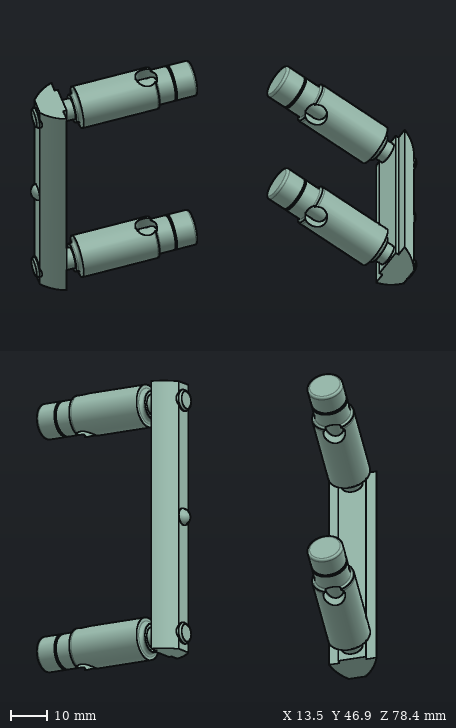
import cadquery as cq
import math

overall_height = 78.4
sleeve_diameter = 12.0
sleeve_radius = sleeve_diameter / 2
pin_spacing = overall_height - sleeve_diameter
pin_heights = (-pin_spacing / 2, pin_spacing / 2)

rail_length = 76.4
rail_width = 13.5
rail_depth = 7.3
rib_width = 7.7
rib_height = 0.95
flat_width = 4.9
flank_bulge = 0.55

dome_radius = 2.5
dome_height = 1.8

stem_radius = 6.0 / 2
head_height = 0.95
head_chamfer_length = 0.7
head_chamfer_width = 0.55

pin_end = 45.15
sleeve_rear = pin_end - 11.45
sleeve_front = pin_end - 33.55
collar_front = pin_end - 35.05

rod_radius = 10.0 / 2
end_fillet = 0.7
groove_rear = pin_end - 6.0
groove_width = 0.5
groove_depth = 0.2
rod_fillet = 0.5

sleeve_chamfer_length = 0.55
sleeve_chamfer_width = 0.1

collar_radius = 8.0 / 2
collar_fillet = 1.0

cross_hole_radius = stem_radius
cross_hole_y = pin_end - 13.5


def make_rail():
    rib_base = rail_depth - rib_height
    half_width = rail_width / 2
    half_flat = flat_width / 2
    half_rib = rib_width / 2
    chord_x = half_width - half_flat
    chord = math.hypot(chord_x, rib_base)
    middle_x = (half_width + half_flat) / 2 + flank_bulge * rib_base / chord
    middle_y = rib_base / 2 - flank_bulge * chord_x / chord
    return (
        cq.Workplane("XY")
        .moveTo(-half_flat, 0)
        .lineTo(half_flat, 0)
        .threePointArc((middle_x, middle_y), (half_width, rib_base))
        .lineTo(half_rib, rib_base)
        .lineTo(half_rib, rail_depth)
        .lineTo(-half_rib, rail_depth)
        .lineTo(-half_rib, rib_base)
        .lineTo(-half_width, rib_base)
        .threePointArc((-middle_x, middle_y), (-half_flat, 0))
        .close()
        .extrude(rail_length / 2, both=True)
    )


def make_stem():
    return (
        cq.Workplane("XY")
        .moveTo(0, -head_height)
        .lineTo(stem_radius - head_chamfer_width, -head_height)
        .lineTo(stem_radius, head_chamfer_length - head_height)
        .lineTo(stem_radius, groove_rear)
        .lineTo(0, groove_rear)
        .close()
        .revolve(360, (0, 0), (0, 1))
    )


def make_sleeve_and_rod():
    groove_front = groove_rear - groove_width
    groove_radius = rod_radius - groove_depth
    arc_inset = 1 - math.sqrt(0.5)
    body = (
        cq.Workplane("XY")
        .moveTo(0, collar_front)
        .lineTo(collar_radius, collar_front)
        .lineTo(collar_radius, sleeve_front - collar_fillet)
        .threePointArc(
            (collar_radius + collar_fillet * arc_inset, sleeve_front - collar_fillet * arc_inset),
            (collar_radius + collar_fillet, sleeve_front),
        )
        .lineTo(sleeve_radius, sleeve_front)
        .lineTo(sleeve_radius, sleeve_rear - sleeve_chamfer_length)
        .lineTo(sleeve_radius - sleeve_chamfer_width, sleeve_rear)
        .lineTo(rod_radius + rod_fillet, sleeve_rear)
        .threePointArc(
            (rod_radius + rod_fillet * arc_inset, sleeve_rear + rod_fillet * arc_inset),
            (rod_radius, sleeve_rear + rod_fillet),
        )
        .lineTo(rod_radius, groove_front)
        .lineTo(groove_radius, groove_front)
        .lineTo(groove_radius, groove_rear)
        .lineTo(rod_radius, groove_rear)
        .lineTo(rod_radius, pin_end - end_fillet)
        .threePointArc(
            (rod_radius - end_fillet * arc_inset, pin_end - end_fillet * arc_inset),
            (rod_radius - end_fillet, pin_end),
        )
        .lineTo(0, pin_end)
        .close()
        .revolve(360, (0, 0), (0, 1))
    )
    cross_hole = (
        cq.Workplane("XY")
        .center(0, cross_hole_y)
        .circle(cross_hole_radius)
        .extrude(sleeve_radius, both=True)
    )
    return body.cut(cross_hole)


def make_pin():
    return make_sleeve_and_rod().union(make_stem())


dome = cq.Workplane("XY").sphere(dome_radius).translate((0, dome_radius - dome_height, 0))
result = make_rail().union(dome)
pin = make_pin()
for height in pin_heights:
    result = result.union(pin.translate((0, 0, height)))